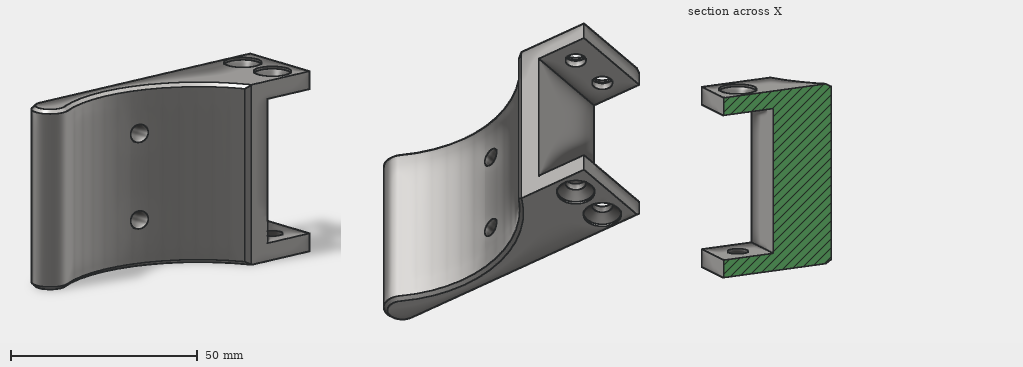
import cadquery as cq
import math

width = 25.0
length = 80.0
height = 50.0
edge_chamfer = 1.0

tip_radius = 5.0
cradle_center_y = 25.0
cradle_rise = cradle_center_y - tip_radius
cradle_radius = (cradle_rise**2 - tip_radius**2) / (2 * tip_radius)
cradle_center_x = tip_radius + cradle_radius

arm_length = 15.0
arm_thickness = 5.0
arm_root_y = length - arm_length

screw_diameter = 5.5
screw_head_diameter = 10.1
screw_head_recess = 0.7
screw_cone_depth = (screw_head_diameter - screw_diameter) / 2
screw_spacing = 12.0
first_screw_x = 6.5
screw_xs = (first_screw_x, first_screw_x + screw_spacing)
screw_y = arm_root_y + arm_length / 2

cross_hole_diameter = 5.0
cross_hole_spacing = 24.0
cross_hole_y = 35.5


def cradle_point(x, side):
    """Point of the cradle arc at x, on the +Y (side=1) or -Y (side=-1) half."""
    return (x, cradle_center_y + side * math.sqrt(cradle_radius**2 - (x - cradle_center_x)**2))


def make_body():
    """Extruded plan outline with chamfered back, tip and cradle edges."""
    tangent_x = tip_radius + tip_radius * cradle_radius / (cradle_radius + tip_radius)
    tangent_point = cradle_point(tangent_x, -1)
    cradle_corner = cradle_point(width, 1)
    body = (
        cq.Workplane("XY", origin=(0, 0, -height / 2))
        .moveTo(0, length)
        .lineTo(0, tip_radius)
        .threePointArc((tip_radius, 0), tangent_point)
        .threePointArc((tip_radius, cradle_center_y), cradle_corner)
        .lineTo(width, length)
        .close()
        .extrude(height)
    )
    rim = body.faces("<Z or >Z").edges("not(>X or >Y)")
    corner = body.edges(cq.selectors.NearestToPointSelector((*cradle_corner, 0)))
    return rim.add(corner).chamfer(edge_chamfer)


def make_arm_gap():
    """Open space between the two arms."""
    gap_height = height - 2 * arm_thickness
    return (
        cq.Workplane("XY")
        .box(width, arm_length, gap_height, centered=(False, False, True))
        .translate((0, arm_root_y, 0))
    )


def make_screw_hole(x):
    """Recessed countersunk hole entering the upper arm from above."""
    head_radius = screw_head_diameter / 2
    shank_radius = screw_diameter / 2
    top = height / 2
    cone_top = top - screw_head_recess
    return (
        cq.Workplane("XZ")
        .moveTo(0, top)
        .lineTo(head_radius, top)
        .lineTo(head_radius, cone_top)
        .lineTo(shank_radius, cone_top - screw_cone_depth)
        .lineTo(shank_radius, top - arm_thickness)
        .lineTo(0, top - arm_thickness)
        .close()
        .revolve(360, (0, 0, 0), (0, 1, 0))
        .translate((x, screw_y, 0))
    )


def make_cross_hole(z):
    """Cylinder along X through the wall behind the cradle."""
    return cq.Workplane("YZ").center(cross_hole_y, z).circle(cross_hole_diameter / 2).extrude(width)


result = make_body().cut(make_arm_gap())

for screw_x in screw_xs:
    upper_hole = make_screw_hole(screw_x)
    result = result.cut(upper_hole).cut(upper_hole.mirror("XY"))

for hole_z in (-cross_hole_spacing / 2, cross_hole_spacing / 2):
    result = result.cut(make_cross_hole(hole_z))